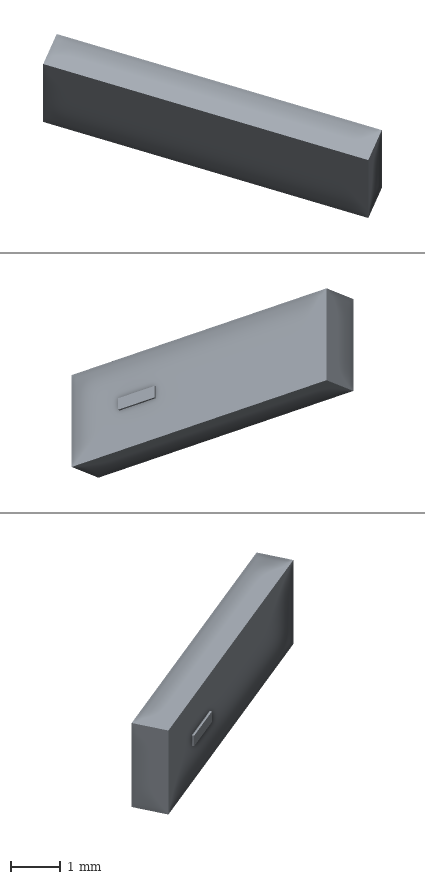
import cadquery as cq

length = 7.0
depth = 0.8
height = 2.0
terminal_length = 0.5

pad_length = 1.0
pad_thickness = 0.05
pad_height = 0.25
pad_center_x = 1.69

core_length = length - 2 * terminal_length
terminal_offset = (core_length + terminal_length) / 2


def make_block(size_x, size_y, size_z, center_x, front_y):
    """Box centred on center_x and Z = 0, extending back from front_y."""
    return (
        cq.Workplane("XY")
        .box(size_x, size_y, size_z, centered=(True, False, True))
        .translate((center_x, front_y, 0))
    )


def make_core():
    return make_block(core_length, depth, height, 0, 0)


def make_terminal(side):
    """End terminal on the -X (side = -1) or +X (side = 1) end of the core."""
    return make_block(terminal_length, depth, height, side * terminal_offset, 0)


def make_marker_pad():
    return make_block(pad_length, pad_thickness, pad_height, pad_center_x, depth)


core = make_core()
terminals = [make_terminal(side) for side in (-1, 1)]
marker_pad = make_marker_pad()

result = cq.Compound.makeCompound(
    [core.val(), *[terminal.val() for terminal in terminals], marker_pad.val()]
)